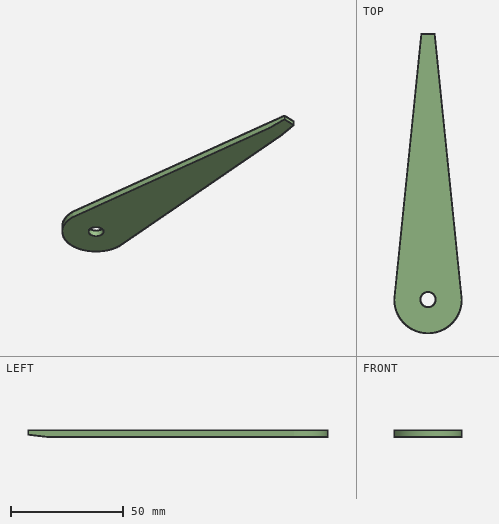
import cadquery as cq

length = 133.0
head_diameter = 30.0
thickness = 3.0
tip_width = 6.0
hole_diameter = 6.6
bevel_length = 8.4
bevel_height = 1.0

head_radius = head_diameter / 2
tip_y = length - head_radius

blade = (
    cq.Workplane("XY")
    .moveTo(-head_radius, 0)
    .threePointArc((0, -head_radius), (head_radius, 0))
    .lineTo(tip_width / 2, tip_y)
    .lineTo(-tip_width / 2, tip_y)
    .close()
    .extrude(thickness)
)

pivot_hole = cq.Workplane("XY").circle(hole_diameter / 2).extrude(thickness)

tip_bevel = (
    cq.Workplane("YZ")
    .moveTo(tip_y - bevel_length, 0)
    .lineTo(tip_y, 0)
    .lineTo(tip_y, bevel_height)
    .close()
    .extrude(head_radius, both=True)
)

result = blade.cut(pivot_hole).cut(tip_bevel)